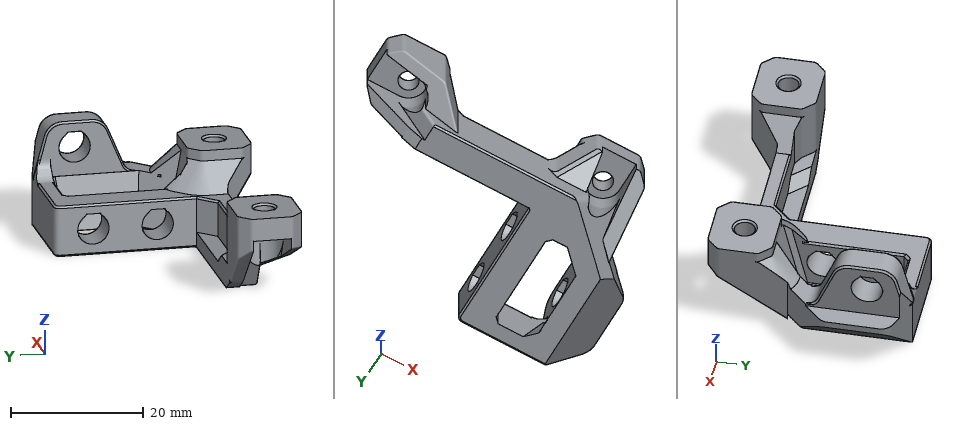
import cadquery as cq
import math


far = 61.8
edge_break = 0.3

frame_top = 8.05
arm_thickness = 2.3
arm_end_x = 1.7
arm_tip_height = 1.55
arm_bottom_start_x = 4.0
head_left = 24.0
head_right = 39.5
head_back = 27.0
head_corner_radius = 1.0
flange_right = 46.0
flange_front = 14.2
flange_back = 24.4
flange_corner_radius = 2.0
flange_diagonal_start = flange_front - (flange_right - head_right)
flange_top = 7.65
flange_underside_start_x = 39.4

corner_start_x = 29.35
corner_radius = 1.6

ledge_height = 2.4
ledge_step_height = 4.1
ledge_step_x = 7.2

pad_pitch = 34.0
pad_length = 11.0
pad_width = 10.0
pad_chamfer = 1.85
pad_corner_radius = 1.0
pad_top = 13.8
pad_edge_height = 1.65
half_length = pad_length / 2
half_width = pad_width / 2
skirt_top = pad_top - pad_edge_height
skirt_run = skirt_top - frame_top
web_reach = half_width - pad_chamfer
half_chamfer = pad_chamfer / 2
web_back_reach = 1.55
web_fillet = 2.0
flare_depth = 12.9

left_end_height = 3.25
left_front_plane = (5.3, -0.475, -0.235)
right_front_height = 3.7
right_back_height = 7.2
right_side_plane = (-3.95, 0.26, -0.615)
underside_radius = 0.3
right_bevel_lift = 0.6
arm_tip_radius = 0.45

screw_radius = 3.2 / 2
slot_radius = 2.95
slot_roof = 10.3
slot_cone_top = 7.05
slot_cone_bottom_radius = 1.95
left_slot_end_x = 4.55
left_slot_end_z = 8.1
arm_tip_edge_z = 2.0
arm_tip_edge_x = left_slot_end_x * (1 - arm_tip_edge_z / left_slot_end_z)

wall_thickness = 5.0
pocket_left = head_left + wall_thickness
pocket_back = 24.35
pocket_corner = 0.8
pocket_floor_front = 7.9
pocket_floor_right = 35.9
pocket_floor_diagonal_x = 32.35
pocket_floor_back_cut = 1.7
pocket_crown_front = half_width
pocket_crown_right = 39.65
pocket_crown_diagonal_x = 34.4
pocket_crown_back_cut = 0.2

ear_left = 38.4
ear_thickness = 4.5
ear_right = ear_left + ear_thickness
ear_top = 16.6
ear_top_front = 16.05
ear_top_back = 24.65
ear_foot_front = 12.45
ear_foot_end = 6.2
ear_corner_radius = 2.85
ear_foot_radius = 1.85
ramp_start_x = 35.7
ramp_foot_middle = (36.45, 8.25)
ramp_line_start = (37.1, 8.7)
ramp_line_end = (37.85, 9.5)
ramp_head_middle = (38.2, 10.05)
ramp_top = 10.8

cross_hole_radius = 2.4
wall_hole_count = 2
wall_hole_spacing = 10.0
wall_hole_front_y = 11.0
wall_hole_z = 4.1
ear_hole_y = 20.6
ear_hole_z = 12.5

nearest = cq.selectors.NearestToPointSelector
within_box = cq.selectors.BoxSelector
margin = 0.5


def prism(points, bottom, top):
    """Upright prism over a plan outline."""
    return cq.Workplane("XY", origin=(0, 0, bottom)).polyline(points).close().extrude(top - bottom)


def loft(lower_points, lower_z, upper_points, upper_z):
    """Solid with flat sides between two plan outlines that have the same number of corners."""
    levels = ((lower_points, lower_z), (upper_points, upper_z))
    wires = [cq.Wire.makePolygon([cq.Vector(x, y, z) for x, y in points], close=True)
             for points, z in levels]
    return cq.Workplane(cq.Solid.makeLoft(wires, True))


def below_plane(origin_height, slope_x, slope_y, x_range=(-far, far), y_range=(-far, far)):
    """Block under the plane z = origin_height + slope_x * x + slope_y * y, in a plan rectangle."""
    (x0, x1), (y0, y1) = x_range, y_range
    floor_z = -5 * far
    plan = [(x0, y0), (x1, y0), (x1, y1), (x0, y1)]
    lower = [cq.Vector(x, y, floor_z) for x, y in plan]
    upper = [cq.Vector(x, y, origin_height + slope_x * x + slope_y * y) for x, y in plan]
    wires = [cq.Wire.makePolygon(points, close=True) for points in (lower, upper)]
    return cq.Workplane(cq.Solid.makeLoft(wires, True))


def frame_outline():
    inner_corner_x = head_left - (half_width - arm_thickness)
    return [
        (arm_end_x, 0), (head_right, 0), (head_right, flange_diagonal_start),
        (flange_right, flange_front), (flange_right, flange_back), (head_right, head_back),
        (head_left, head_back), (head_left, half_width),
        (inner_corner_x, arm_thickness), (arm_end_x, arm_thickness),
    ]


def frame():
    body = prism(frame_outline(), 0, frame_top)
    head_corner = nearest((head_left, head_back, frame_top / 2))
    body = body.edges("|Z").edges(head_corner).fillet(head_corner_radius)
    flange_corners = within_box(
        (head_right + margin, flange_front - margin, 0), (far, flange_back + margin, frame_top))
    body = body.edges("|Z").edges(flange_corners).fillet(flange_corner_radius)
    upper_rim = within_box((arm_end_x + margin, margin, frame_top - margin),
                           (head_right - margin, far, frame_top + margin))
    body = body.edges(upper_rim).chamfer(edge_break)
    arm_middle_x = (arm_end_x + head_right) / 2
    head_middle_x = (head_left + head_right) / 2
    for x, y in ((arm_middle_x, 0), (head_middle_x, head_back)):
        body = body.edges("<Z").edges(nearest((x, y, 0))).chamfer(edge_break)
    corner_underside = below_plane(-corner_start_x, 1, -1, (head_left, far))
    body = body.cut(corner_underside)
    middle_z = frame_top / 2
    corner_edge = nearest((corner_start_x + middle_z, 0, middle_z))
    return body.edges(corner_edge).fillet(corner_radius)


def ledge():
    """Low shelf behind the arm; its step comes down at 45 degrees along a slanted line."""
    low = prism([(arm_end_x, 0.5 * arm_thickness), (head_left, 0.5 * arm_thickness),
                 (head_left, half_width), (arm_end_x, half_width)], 0, ledge_height)
    slope_run = (ledge_step_height - ledge_height) * math.sqrt(2)

    def step_outline(extra):
        front_x = ledge_step_x + half_width - arm_thickness
        return [(arm_end_x, arm_thickness), (front_x + extra, arm_thickness),
                (ledge_step_x + extra, half_width), (arm_end_x, half_width)]

    return low.union(loft(step_outline(slope_run), ledge_height, step_outline(0), ledge_step_height))


def pad_block(center_x):
    return (cq.Workplane("XY").center(center_x, 0).rect(pad_length, pad_width).extrude(pad_top)
            .edges("|Z").chamfer(pad_chamfer).edges("|Z").fillet(pad_corner_radius))


def left_pad():
    web = prism([(0, 0), (half_length - half_chamfer, half_chamfer - half_width),
                 (half_length + web_reach, 0),
                 (half_length + skirt_run, 0), (half_length + skirt_run, arm_thickness),
                 (half_length + web_back_reach, arm_thickness), (half_length, web_reach),
                 (half_length - half_chamfer, half_width - half_chamfer)], 0, skirt_top)
    web_slope = below_plane(skirt_top + half_length, -1, 0)
    pad = pad_block(0).union(web.intersect(web_slope))
    pad = pad.cut(below_plane(left_end_height, -1, 0))
    pad = pad.cut(below_plane(edge_break, 0, 0))
    pad = pad.cut(below_plane(*left_front_plane, y_range=(-far, 0)))
    front_lower_edges = within_box((-far, -far, 0), (far, -0.2 * margin, slot_roof))
    return pad.edges("not |Z").edges(front_lower_edges).fillet(underside_radius)


def web_corner_fillet(corner_x, height):
    """Concave round where the 45 degree web meets the arm front."""
    tangent = web_fillet * math.tan(math.pi / 8)
    middle = web_fillet * (1 - math.cos(math.pi / 8))
    diagonal = tangent * math.sqrt(0.5)
    start = (corner_x - tangent, 0)
    arc_middle = (start[0] + web_fillet * math.sin(math.pi / 8), -middle)
    return (cq.Workplane("XY").moveTo(*start).threePointArc(arc_middle, (corner_x + diagonal, -diagonal))
            .lineTo(corner_x + diagonal, 0).close().extrude(height))


def right_pad():
    left = pad_pitch - half_length
    right = pad_pitch + half_length
    web_corner = left - web_reach
    pad = pad_block(pad_pitch)

    rim = pad.faces(">Z").wires().val().translate(cq.Vector(0, 0, -pad_edge_height))
    flare = cq.Workplane("XY", origin=(0, 0, skirt_top)).newObject([rim]).toPending()
    flare = flare.extrude(-skirt_run, taper=-45)

    front_y = half_chamfer - half_width
    front = [(left + half_chamfer, front_y), (right - half_chamfer, front_y),
             (right, pad_corner_radius - web_reach)]
    round_corner = web_corner_fillet(web_corner, skirt_top)
    behind = prism([(left - skirt_run, 0), (web_corner, 0), *front, (right, flange_diagonal_start),
                    (right + flare_depth - flange_diagonal_start, flare_depth),
                    (left - skirt_run, flare_depth)], 0, skirt_top)
    rib_left = pad_pitch + slot_radius
    rib_back = flange_diagonal_start - (right - rib_left)
    web = prism([(web_corner, 0), *front, (right, flange_diagonal_start), (rib_left, rib_back),
                 (rib_left, half_width), (web_corner, half_width)], 0, frame_top)
    pad = pad.union(flare.intersect(behind.union(round_corner))).union(web)
    pad = pad.union(web_corner_fillet(web_corner, frame_top))

    pad = pad.cut(below_plane(right_front_height, 0, -1, (-far, rib_left), (-far, 0)))
    bevel_height = web_corner + right_front_height + right_bevel_lift
    pad = pad.cut(below_plane(bevel_height, -1, -2, (-far, rib_left), (-far, 0)))
    pad = pad.cut(below_plane(right_back_height, 0, 0, (-far, rib_left), (0, half_width)))
    return pad.cut(below_plane(*right_side_plane, x_range=(rib_left, far)))


def pocket():
    def outline(front, right, diagonal_x, back_cut):
        diagonal_end = front + right - diagonal_x
        return [(pocket_left, front + pocket_corner), (pocket_left + pocket_corner, front),
                (diagonal_x, front), (right, diagonal_end),
                (right, pocket_back - back_cut), (right - back_cut, pocket_back),
                (pocket_left + pocket_corner, pocket_back), (pocket_left, pocket_back - pocket_corner)]

    floor = outline(pocket_floor_front, pocket_floor_right, pocket_floor_diagonal_x, pocket_floor_back_cut)
    crown = outline(pocket_crown_front, pocket_crown_right, pocket_crown_diagonal_x, pocket_crown_back_cut)
    return loft(floor, 0, crown, skirt_top)


def pocket_rim_bevel():
    """Bevel along the left and back walls of the pocket."""
    front = pocket_floor_front

    def outline(offset):
        left = pocket_left - offset
        back = pocket_back + offset
        corner = pocket_corner
        return [(left, front), (pocket_floor_right, front), (pocket_floor_right, back),
                (left + corner, back), (left, back - corner)]

    return loft(outline(0), frame_top - edge_break, outline(edge_break), frame_top)


def ear():
    """Upright plate with sloping flanks, a rounded top and a flared front foot."""
    plate = (cq.Workplane("YZ", origin=(ear_left, 0, 0))
             .polyline([(ear_foot_end, 0), (ear_foot_end, frame_top), (ear_foot_front, frame_top),
                        (ear_top_front, ear_top), (ear_top_back, ear_top),
                        (head_back, frame_top), (head_back, 0)]).close().extrude(ear_thickness))
    middle_x = ear_left + ear_thickness / 2
    rounds = [(ear_top_front, ear_top, ear_corner_radius), (ear_top_back, ear_top, ear_corner_radius),
              (ear_foot_front, frame_top, ear_foot_radius)]
    for y, z, radius in rounds:
        plate = plate.edges("|X").edges(nearest((middle_x, y, z))).fillet(radius)
    rim = within_box((ear_left - margin, ear_foot_end + margin, frame_top + 0.1 * margin),
                     (ear_right + margin, far, far))
    plate = plate.edges("not |X").edges(rim).chamfer(edge_break)
    return plate.intersect(prism(frame_outline(), frame_top, ear_top))


def ear_ramp():
    """Curved buttress from the back wall of the head up to the ear, behind the ear's back flank."""
    root = frame_top - edge_break
    profile = (cq.Workplane("XZ", origin=(0, head_back, 0)).moveTo(ramp_start_x, root)
               .lineTo(ramp_start_x, frame_top).threePointArc(ramp_foot_middle, ramp_line_start)
               .lineTo(*ramp_line_end).threePointArc(ramp_head_middle, (ear_left, ramp_top))
               .lineTo(ear_left, root).close())
    ramp = profile.extrude(head_back - pocket_back)
    lean = (head_back - ear_top_back) / (ear_top - frame_top)
    back_flank = [(0, 0), (head_back, 0), (head_back, frame_top),
                  (head_back - lean * (ramp_top - frame_top), ramp_top), (0, ramp_top)]
    return ramp.intersect(cq.Workplane("YZ").polyline(back_flank).close().extrude(far))


def cross_hole(y, z, start_x, length):
    """Hole along X whose top is a 45 degree roof cut flat at the top of the circle."""
    half_flat = cross_hole_radius * math.tan(math.pi / 8)
    shoulder = cross_hole_radius * math.sqrt(0.5)
    roof = [(-shoulder, shoulder), (shoulder, shoulder),
            (half_flat, cross_hole_radius), (-half_flat, cross_hole_radius)]
    start = (start_x, y, z)
    round_hole = cq.Workplane("YZ", origin=start).circle(cross_hole_radius).extrude(length)
    return round_hole.union(cq.Workplane("YZ", origin=start).polyline(roof).close().extrude(length))


def slot_core():
    """Round end of a driver slot: straight in front of the arm, coned where it enters the arm."""
    front_half = cq.Workplane("XY").rect(far, far).extrude(far).translate((0, -far / 2, 0))
    straight = cq.Workplane("XY").circle(slot_radius).extrude(slot_roof).intersect(front_half)
    coned = (cq.Workplane("XZ")
             .polyline([(0, 0), (slot_cone_bottom_radius, 0), (slot_radius, slot_cone_top),
                        (slot_radius, slot_roof), (0, slot_roof)]).close().revolve())
    return straight.union(coned)


def left_slot():
    """Driver slot open toward -X; its channel ends on the steep end face of the arm."""
    channel = (cq.Workplane("XZ", origin=(0, slot_radius, 0))
               .polyline([(-far, 0), (left_slot_end_x, 0), (0, left_slot_end_z),
                          (0, slot_roof), (-far, slot_roof)]).close().extrude(2 * slot_radius))
    return slot_core().union(channel)


def right_slot():
    """Driver slot open toward -Y."""
    channel = prism([(-slot_radius, -far), (slot_radius, -far),
                     (slot_radius, 0), (-slot_radius, 0)], 0, slot_roof)
    return slot_core().union(channel).translate((pad_pitch, 0, 0))


def screw_hole(center_x):
    """Through hole with a bevelled mouth."""
    mouth_radius = screw_radius + edge_break
    return (cq.Workplane("XZ", origin=(center_x, 0, 0))
            .polyline([(0, 0), (screw_radius, 0), (screw_radius, pad_top - edge_break),
                       (mouth_radius, pad_top), (0, pad_top)]).close().revolve())


def bracket():
    tip_slope = -arm_tip_height / (arm_bottom_start_x - arm_end_x)
    arm_tip_underside = below_plane(
        -tip_slope * arm_bottom_start_x, tip_slope, 0, (-far, head_left), (0, far))
    flange_underside = below_plane(-flange_underside_start_x, 1, 0, (head_left, far))
    above_flange = (cq.Workplane("XY").box(far, far, far, centered=False)
                    .translate((ear_right, 0, flange_top)))

    body = frame().union(ledge())
    body = body.cut(flange_underside).cut(above_flange)
    body = body.union(left_pad()).cut(arm_tip_underside).union(right_pad())
    body = body.cut(pocket()).cut(pocket_rim_bevel())
    body = body.union(ear()).union(ear_ramp())
    body = body.cut(left_slot()).cut(right_slot())
    body = body.edges(nearest((arm_tip_edge_x, 0, arm_tip_edge_z))).fillet(arm_tip_radius)
    for pad_x in (0, pad_pitch):
        body = body.cut(screw_hole(pad_x))
    body = body.cut(cross_hole(ear_hole_y, ear_hole_z, ear_left, ear_thickness))
    for i in range(wall_hole_count):
        hole_y = wall_hole_front_y + i * wall_hole_spacing
        body = body.cut(cross_hole(hole_y, wall_hole_z, head_left, wall_thickness))
    return body


result = cq.Compound.makeCompound([bracket().solids().val()])